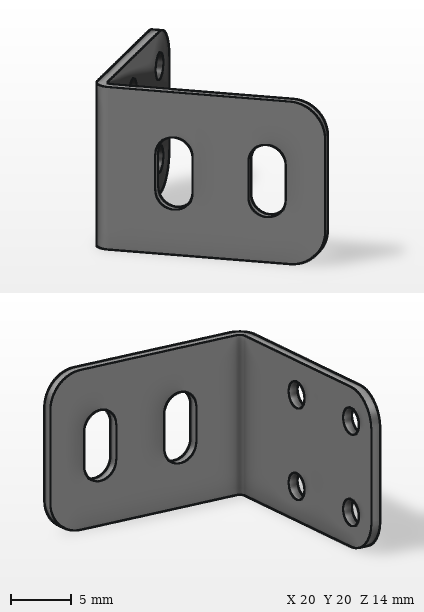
import cadquery as cq

leg_length = 20
height = 14
thickness = 0.9
inner_bend_radius = 0.5
outer_bend_radius = inner_bend_radius + thickness
corner_radius = 3

hole_pitch = 8
mid_height = height / 2

slot_width = 3.2
slot_length = 6.2
first_slot_x = 7

hole_diameter = 2.3
first_hole_y = 9


def make_folded_sheet():
    """L-shaped sheet with a rounded bend and rounded free corners."""
    sheet = (
        cq.Workplane("XY")
        .polyline([
            (0, 0),
            (leg_length, 0),
            (leg_length, thickness),
            (thickness, thickness),
            (thickness, leg_length),
            (0, leg_length),
        ])
        .close()
        .extrude(height)
    )
    sheet = sheet.edges(cq.selectors.NearestToPointSelector((0, 0, mid_height))).fillet(outer_bend_radius)
    inner_edge = cq.selectors.NearestToPointSelector((thickness, thickness, mid_height))
    sheet = sheet.edges(inner_edge).fillet(inner_bend_radius)
    sheet = sheet.faces(">X").edges("|Y").fillet(corner_radius)
    return sheet.faces(">Y").edges("|X").fillet(corner_radius)


def make_slots():
    """Cutters for the two slots, running through the leg along X."""
    centers = [(first_slot_x + i * hole_pitch, mid_height) for i in range(2)]
    return (
        cq.Workplane("XZ")
        .pushPoints(centers)
        .slot2D(slot_length, slot_width, 90)
        .extrude(-thickness)
    )


def make_holes():
    """Cutters for the square group of four holes, through the leg along Y."""
    group_center_y = first_hole_y + hole_pitch / 2
    return (
        cq.Workplane("YZ")
        .center(group_center_y, mid_height)
        .rarray(hole_pitch, hole_pitch, 2, 2)
        .circle(hole_diameter / 2)
        .extrude(thickness)
    )


result = make_folded_sheet().cut(make_slots()).cut(make_holes())